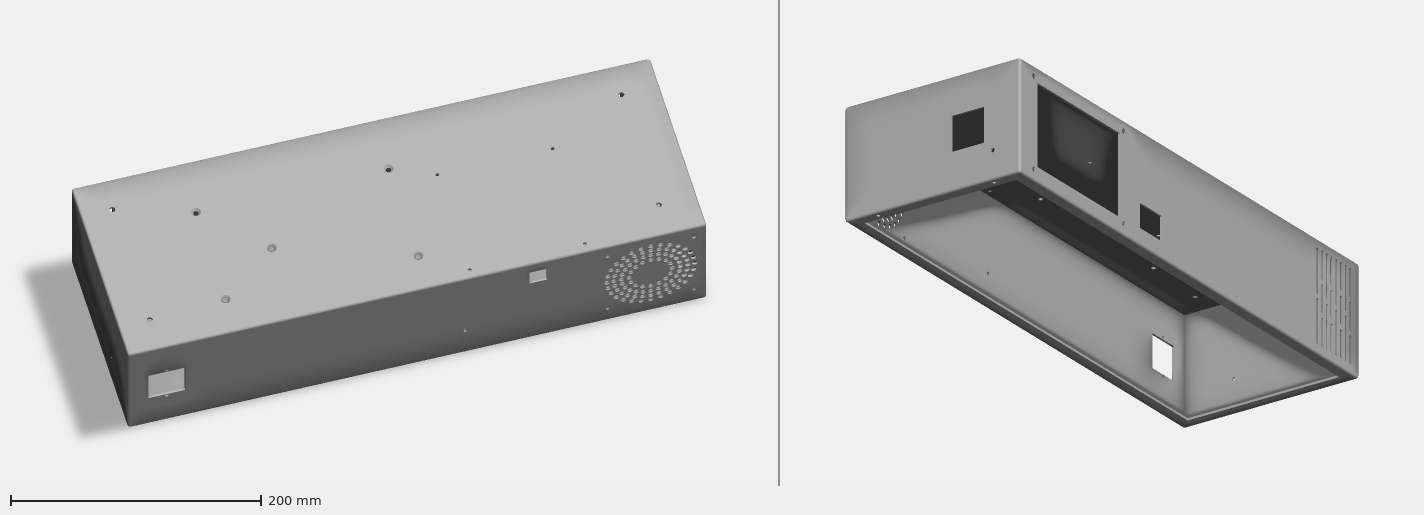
import cadquery as cq
import math

WIDTH = 170.0
LENGTH = 480.0
HEIGHT = 101.0
WALL = 2.0
BEND_RADIUS = WALL
LIP = 11.5

LEFT_FACE = -WIDTH / 2
RIGHT_FACE = WIDTH / 2
FRONT_FACE = -LENGTH / 2
BACK_FACE = LENGTH / 2
TOP_FACE = HEIGHT / 2
CUT_DEPTH = 9.5

WINDOW_LENGTH = 116.5
WINDOW_HEIGHT = 74.0
WINDOW_Y = 157.0
WINDOW_HOLE_Y = 156.5
WINDOW_HOLE_LENGTH = 127.0
WINDOW_HOLE_HEIGHT = 81.5
WINDOW_HOLE_DIAMETER = 5.0

SOCKET_LENGTH = 30.5
SOCKET_HEIGHT = 22.0
SOCKET_Y = 54.5
SOCKET_Z = -24.5

VENT_Y = -204.5
VENT_SPAN = 46.5
VENT_COLUMNS = 8
VENT_HEIGHT = 85.0
SLOT_WIDTH = 3.0
SLOT_GAP = 4.0

FAN_Y = 194.0
FAN_Z = 1.2
FAN_RINGS = [(18.0, 16), (24.5, 24), (30.5, 28), (36.5, 28)]
FAN_HOLE_DIAMETER = 5.0
FAN_MOUNT_SPACING = 71.5
FAN_MOUNT_DIAMETER = 3.5

OUTLET_Y = -208.0
OUTLET_SIZE = 30.5
OUTLET_HOLE_SPACING = 34.5
OUTLET_HOLE_DIAMETER = 3.0
CABLE_SIZE = 15.0
CABLE_Y = 100.5
CABLE_Z = 31.5
RIGHT_HOLE_DIAMETER = 3.5
RIGHT_HOLE_Y = 40.0
RIGHT_HOLE_Z = -20.5

CORNER_HOLE_X = 56.0
CORNER_HOLE_YS = (208.5, -214.0)
CORNER_HOLE_DIAMETER = 5.0
BOARD_HOLE_XS = (-19.5, 77.5)
BOARD_HOLE_YS = (141.0, 45.5)
BOARD_HOLE_DIAMETER = 3.0
SUNK_HOLE_XS = (-36.0, 53.0)
SUNK_HOLE_YS = (9.5, -150.0)
SUNK_HOLE_SINGLE = (14.0, -101.5)
SUNK_HOLE_DIAMETER = 4.2
SUNK_HEAD_DIAMETER = 8.0
SUNK_HALF_ANGLE = 45

FRONT_HOLE_X = 35.5
FRONT_HOLE_Z = -20.0
FRONT_HOLE_DIAMETER = 3.0
BACK_OPENING_SIZE = 31.5
BACK_OPENING_X = -34.0
BACK_HOLE_X = -58.0
BACK_HOLE_Z = -24.5
BACK_HOLE_DIAMETER = 4.0
LIP_HOLE_X = CORNER_HOLE_X
LIP_HOLE_Y = 234.0
LIP_HOLE_DIAMETER = 3.0


def make_shell():
    """Bent sheet box, open underneath inside an inward lip."""
    outer = cq.Workplane("XY").box(WIDTH, LENGTH, HEIGHT).edges().fillet(BEND_RADIUS)
    inner = cq.Workplane("XY").box(WIDTH - 2 * WALL, LENGTH - 2 * WALL, HEIGHT - 2 * WALL)
    opening = (
        cq.Workplane("XY", origin=(0, 0, -HEIGHT / 2))
        .rect(WIDTH - 2 * LIP, LENGTH - 2 * LIP)
        .extrude(CUT_DEPTH, both=True)
    )
    return outer.cut(inner).cut(opening)


def left_wall():
    return cq.Workplane("YZ", origin=(LEFT_FACE, 0, 0))


def right_wall():
    return cq.Workplane("YZ", origin=(RIGHT_FACE, 0, 0))


def front_wall():
    return cq.Workplane("XZ", origin=(0, FRONT_FACE, 0))


def back_wall():
    return cq.Workplane("XZ", origin=(0, BACK_FACE, 0))


def top_wall():
    return cq.Workplane("XY", origin=(0, 0, TOP_FACE))


def round_cuts(wall, points, diameter):
    return wall.pushPoints(points).circle(diameter / 2).extrude(CUT_DEPTH, both=True)


def window_cut(wall, centre, length, height):
    return wall.center(*centre).rect(length, height).extrude(CUT_DEPTH, both=True)


def grid(xs, ys):
    return [(x, y) for x in xs for y in ys]


def rectangle_corners(centre, length, height):
    xs = (centre[0] - length / 2, centre[0] + length / 2)
    ys = (centre[1] - height / 2, centre[1] + height / 2)
    return grid(xs, ys)


def vent_column_cuts(column):
    """Slots of one vent column, counted from the back."""
    y = VENT_Y + VENT_SPAN / 2 - column * VENT_SPAN / (VENT_COLUMNS - 1)
    count = 2 if column % 2 == 0 else 3
    slot_length = (VENT_HEIGHT - (count - 1) * SLOT_GAP) / count
    step = slot_length + SLOT_GAP
    points = [(y, (row - (count - 1) / 2) * step) for row in range(count)]
    slots = left_wall().pushPoints(points).slot2D(slot_length, SLOT_WIDTH, 90)
    return slots.extrude(CUT_DEPTH, both=True)


def fan_points():
    points = []
    for radius, count in FAN_RINGS:
        for index in range(count):
            angle = 2 * math.pi * index / count
            points.append((FAN_Y + radius * math.cos(angle), FAN_Z + radius * math.sin(angle)))
    return points


def countersinks(points):
    depth = (SUNK_HEAD_DIAMETER - SUNK_HOLE_DIAMETER) / 2 / math.tan(math.radians(SUNK_HALF_ANGLE))
    return (
        top_wall()
        .pushPoints(points)
        .circle(SUNK_HEAD_DIAMETER / 2)
        .extrude(-depth, taper=SUNK_HALF_ANGLE)
    )


result = make_shell()

result = result.cut(window_cut(left_wall(), (WINDOW_Y, 0), WINDOW_LENGTH, WINDOW_HEIGHT))
window_holes = rectangle_corners((WINDOW_HOLE_Y, 0), WINDOW_HOLE_LENGTH, WINDOW_HOLE_HEIGHT)
result = result.cut(round_cuts(left_wall(), window_holes, WINDOW_HOLE_DIAMETER))
result = result.cut(window_cut(left_wall(), (SOCKET_Y, SOCKET_Z), SOCKET_LENGTH, SOCKET_HEIGHT))
for vent_column in range(VENT_COLUMNS):
    result = result.cut(vent_column_cuts(vent_column))

result = result.cut(round_cuts(right_wall(), fan_points(), FAN_HOLE_DIAMETER))
fan_mounts = rectangle_corners((FAN_Y, FAN_Z), FAN_MOUNT_SPACING, FAN_MOUNT_SPACING)
result = result.cut(round_cuts(right_wall(), fan_mounts, FAN_MOUNT_DIAMETER))
result = result.cut(window_cut(right_wall(), (OUTLET_Y, 0), OUTLET_SIZE, OUTLET_SIZE))
outlet_holes = [(OUTLET_Y, -OUTLET_HOLE_SPACING / 2), (OUTLET_Y, OUTLET_HOLE_SPACING / 2)]
result = result.cut(round_cuts(right_wall(), outlet_holes, OUTLET_HOLE_DIAMETER))
result = result.cut(window_cut(right_wall(), (CABLE_Y, CABLE_Z), CABLE_SIZE, CABLE_SIZE))
result = result.cut(round_cuts(right_wall(), [(RIGHT_HOLE_Y, RIGHT_HOLE_Z)], RIGHT_HOLE_DIAMETER))

corner_holes = grid((-CORNER_HOLE_X, CORNER_HOLE_X), CORNER_HOLE_YS)
result = result.cut(round_cuts(top_wall(), corner_holes, CORNER_HOLE_DIAMETER))
board_holes = grid(BOARD_HOLE_XS, BOARD_HOLE_YS)
result = result.cut(round_cuts(top_wall(), board_holes, BOARD_HOLE_DIAMETER))
sunk_holes = grid(SUNK_HOLE_XS, SUNK_HOLE_YS) + [SUNK_HOLE_SINGLE]
result = result.cut(round_cuts(top_wall(), sunk_holes, SUNK_HOLE_DIAMETER))
result = result.cut(countersinks(sunk_holes))

result = result.cut(round_cuts(front_wall(), [(FRONT_HOLE_X, FRONT_HOLE_Z)], FRONT_HOLE_DIAMETER))
result = result.cut(window_cut(back_wall(), (BACK_OPENING_X, 0), BACK_OPENING_SIZE, BACK_OPENING_SIZE))
result = result.cut(round_cuts(back_wall(), [(BACK_HOLE_X, BACK_HOLE_Z)], BACK_HOLE_DIAMETER))

lip_holes = [(-LIP_HOLE_X, LIP_HOLE_Y), (LIP_HOLE_X, LIP_HOLE_Y)]
lip_plane = cq.Workplane("XY", origin=(0, 0, -TOP_FACE))
result = result.cut(round_cuts(lip_plane, lip_holes, LIP_HOLE_DIAMETER))